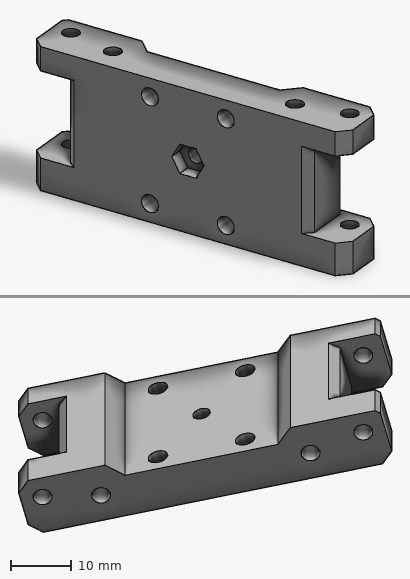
import cadquery as cq

length = 62.4
depth = 10.8
height = 27.0
left_x = -length / 2
right_x = length / 2

end_chamfer = 2.1
left_rear_chamfer = 0.75

recess_depth = 2.8
recess_floor_half = 13.1
recess_mouth_half = recess_floor_half + recess_depth

notch_bottom = 6.1
notch_top = 22.4
web_half = 24.1
web_chamfer_x = 1.6
web_chamfer_y = 1.4

pin_diameter = 3.1
outer_pin_x = 27.55
outer_pin_y = 7.0
inner_pin_x = 18.0
inner_pin_y = 5.0

mount_diameter = 3.3
mount_x = 7.5
mount_z_spacing = 20.0
center_diameter = 2.95
nut_across_corners = 6.35
nut_depth = 2.5


def make_block():
    """Extrude the plan outline with its chamfered ends and rear recess."""
    points = [
        (left_x + end_chamfer, 0),
        (right_x - end_chamfer, 0),
        (right_x, end_chamfer),
        (right_x, depth - end_chamfer),
        (right_x - end_chamfer, depth),
        (recess_mouth_half, depth),
        (recess_floor_half, depth - recess_depth),
        (-recess_floor_half, depth - recess_depth),
        (-recess_mouth_half, depth),
        (left_x + left_rear_chamfer, depth),
        (left_x, depth - left_rear_chamfer),
        (left_x, end_chamfer),
    ]
    return cq.Workplane("XY").polyline(points).close().extrude(height)


def notch(side):
    """Cutter for one end (side -1 or 1), leaving chamfered edges on the web."""
    outside = side * length
    wall = side * web_half
    chamfer_start = side * (web_half - web_chamfer_x)
    points = [
        (outside, 0),
        (chamfer_start, 0),
        (wall, web_chamfer_y),
        (wall, depth - web_chamfer_y),
        (chamfer_start, depth),
        (outside, depth),
    ]
    cutter = cq.Workplane("XY").workplane(offset=notch_bottom).polyline(points).close()
    return cutter.extrude(notch_top - notch_bottom)


def pin_holes():
    """Cutters for the four vertical holes."""
    centers = []
    for side in (-1, 1):
        centers.append((side * outer_pin_x, outer_pin_y))
        centers.append((side * inner_pin_x, inner_pin_y))
    return cq.Workplane("XY").pushPoints(centers).circle(pin_diameter / 2).extrude(height)


def front_plane():
    """Plane on the front face whose normal points into the part."""
    return cq.Workplane(
        cq.Plane(origin=(0, 0, height / 2), xDir=(1, 0, 0), normal=(0, 1, 0))
    )


result = make_block()
for end_side in (-1, 1):
    result = result.cut(notch(end_side))
result = result.cut(pin_holes())

mount_holes = front_plane().rarray(2 * mount_x, mount_z_spacing, 2, 2).circle(mount_diameter / 2)
result = result.cut(mount_holes.extrude(depth))
result = result.cut(front_plane().circle(center_diameter / 2).extrude(depth))
result = result.cut(front_plane().polygon(6, nut_across_corners).extrude(nut_depth))